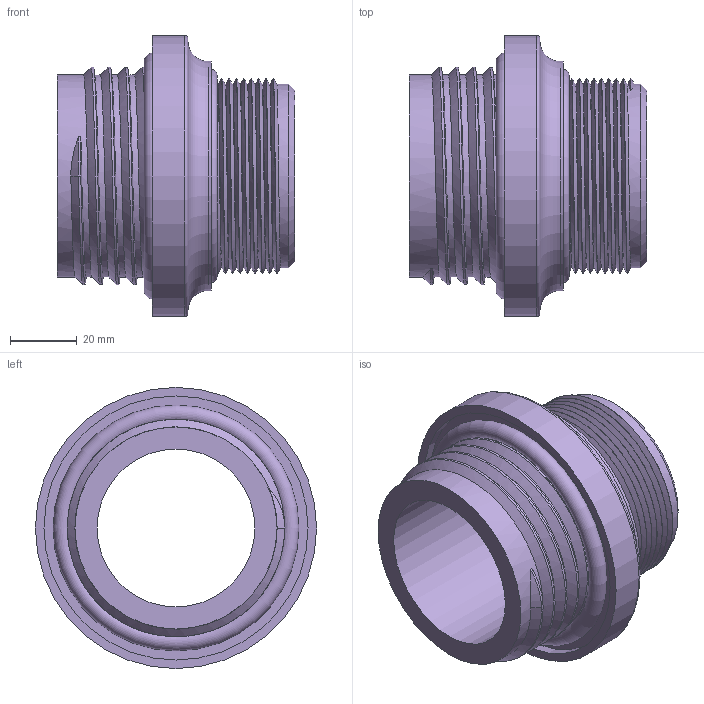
import cadquery as cq
import math


length = 71.12
bore_dia = 47.24
coarse_root_dia = 60.45
fine_root_dia = 54.86
flange_dia = 84.07
hub_dia = 68.58
flange_start = 28.45
flange_end = 39.12
hub_end = 46.1
flange_edge_fillet = 0.95
hub_fillet = 6.1
end_chamfer = 1.9

large_section = 5.33
large_inside_dia = 62.87
small_section = 3.53
small_inside_dia = 56.74

large_gland_dia = 78.99
small_gland_dia = 66.29
large_ring_outer_x = 26.0
small_ring_outer_x = 47.83
large_ring_x = large_ring_outer_x + large_section / 2
small_ring_x = small_ring_outer_x - small_section / 2
large_gland_floor = large_ring_x + large_section / 2
small_gland_floor = small_ring_x - small_section / 2

coarse_crest_dia = 65.02
coarse_pitch = 5.08
coarse_start = 4.1
coarse_turns = 5
coarse_height = (coarse_crest_dia - coarse_root_dia) / 2
coarse_lead_slope = math.tan(math.radians(45))
coarse_back_slope = math.tan(math.radians(7))
coarse_crest_width = 0.7

fine_crest_dia = 58.42
fine_pitch = 25.4 / 11.5
fine_turns = 9
fine_end_crest = 66.33
fine_flank_slope = math.tan(math.radians(30))
fine_crest_width = 0.05

thread_embed = 0.07
thread_overrun = 0.25
runout_radius_share = 0.53
runout_angle = 48


def cylinder(x_start, x_end, diameter):
    """Solid cylinder about the X axis."""
    return cq.Workplane("YZ", origin=(x_start, 0, 0)).circle(diameter / 2).extrude(x_end - x_start)


def thread(profile, crest_radius, pitch, turns, runout_at_end):
    """Right-hand ridge about Z, starting in the XZ plane, with a run-out at one end."""
    helix = cq.Wire.makeHelix(pitch, pitch * turns, crest_radius)
    section = cq.Workplane("XZ").polyline(profile).close()
    ridge = section.sweep(cq.Workplane(helix), isFrenet=True)

    lift = pitch * turns if runout_at_end else 0
    axis_top = 1 if runout_at_end else -1
    pivot = crest_radius * (1 - runout_radius_share)
    runout = (
        cq.Workplane("XZ").polyline(profile).close()
        .revolve(runout_angle, (pivot, 0, 0), (pivot, axis_top, 0))
        .translate((0, 0, lift))
    )
    return ridge, runout


def lay_along_x(body, start_angle, x_offset):
    """Turn a body from the Z axis onto X; local +X goes to -Z, then turns by start_angle."""
    turned = body.rotate((0, 0, 0), (0, 1, 0), 90)
    return turned.rotate((0, 0, 0), (1, 0, 0), start_angle).translate((x_offset, 0, 0))


def coarse_thread():
    root = coarse_root_dia / 2
    crest = coarse_crest_dia / 2
    base = root - thread_embed
    crest_start = coarse_height * coarse_lead_slope
    crest_end = crest_start + coarse_crest_width
    profile = [
        (base, -thread_embed * coarse_lead_slope),
        (crest, crest_start),
        (crest, crest_end),
        (base, crest_end + (crest - base) * coarse_back_slope),
    ]
    pieces = thread(profile, crest, coarse_pitch, coarse_turns, runout_at_end=False)
    return [lay_along_x(piece, -90, coarse_start) for piece in pieces]


def fine_thread():
    root = fine_root_dia / 2
    crest = fine_crest_dia / 2
    base = root - thread_embed
    half_crest = fine_crest_width / 2
    half_base = half_crest + (crest - base) * fine_flank_slope
    profile = [
        (base, -half_base),
        (crest, -half_crest),
        (crest, half_crest),
        (base, half_base),
    ]
    pieces = thread(profile, crest, fine_pitch, fine_turns, runout_at_end=True)
    start = fine_end_crest - fine_turns * fine_pitch
    return [lay_along_x(piece, 90, start) for piece in pieces]


def make_fitting():
    hub_fillet_end = flange_end + hub_fillet
    hub_radius = hub_dia / 2
    flange_radius = flange_dia / 2
    edge_centre = (flange_end - flange_edge_fillet, flange_radius - flange_edge_fillet)
    diagonal = math.sqrt(0.5)
    edge_mid = (
        edge_centre[0] + flange_edge_fillet * diagonal,
        edge_centre[1] + flange_edge_fillet * diagonal,
    )
    cove_centre = (hub_fillet_end, hub_radius + hub_fillet)
    cove_mid = (cove_centre[0] - hub_fillet * diagonal, cove_centre[1] - hub_fillet * diagonal)

    flange = (
        cq.Workplane("XY")
        .moveTo(flange_start, 0)
        .lineTo(flange_start, flange_radius)
        .lineTo(edge_centre[0], flange_radius)
        .threePointArc(edge_mid, (flange_end, edge_centre[1]))
        .lineTo(flange_end, cove_centre[1])
        .threePointArc(cove_mid, (hub_fillet_end, hub_radius))
        .lineTo(hub_end, hub_radius)
        .lineTo(hub_end, 0)
        .close()
        .revolve(360, (0, 0, 0), (1, 0, 0))
    )
    large_gland = cylinder(flange_start, large_gland_floor, large_gland_dia)
    small_gland = cylinder(small_gland_floor, hub_end, small_gland_dia)
    coarse_spigot = cylinder(0, large_gland_floor, coarse_root_dia)
    fine_spigot = cylinder(small_gland_floor, length, fine_root_dia).faces(">X").chamfer(end_chamfer)

    fitting = flange.cut(large_gland).cut(small_gland).union(coarse_spigot).union(fine_spigot)

    coarse_zone = cylinder(0, large_ring_outer_x + thread_overrun, flange_dia)
    fine_zone = cylinder(small_ring_outer_x - thread_overrun, length, flange_dia)
    for piece in coarse_thread():
        fitting = fitting.union(piece.intersect(coarse_zone))
    for piece in fine_thread():
        fitting = fitting.union(piece.intersect(fine_zone))
    return fitting.cut(cylinder(0, length, bore_dia)).solids()


def make_o_ring(x_centre, section_dia, inside_dia):
    centre_radius = (inside_dia + section_dia) / 2
    return (
        cq.Workplane("XY")
        .center(x_centre, centre_radius)
        .circle(section_dia / 2)
        .revolve(360, (-x_centre, -centre_radius, 0), (1 - x_centre, -centre_radius, 0))
    )


fitting = make_fitting()
large_o_ring = make_o_ring(large_ring_x, large_section, large_inside_dia)
small_o_ring = make_o_ring(small_ring_x, small_section, small_inside_dia)

result = cq.Compound.makeCompound([fitting.val(), large_o_ring.val(), small_o_ring.val()])